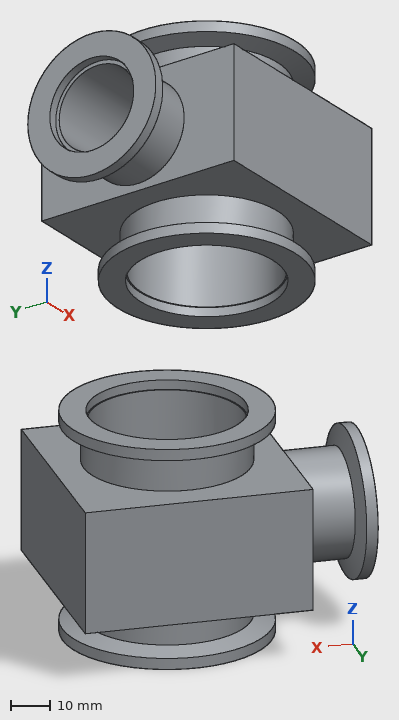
import cadquery as cq
import math

BLOCK_SIDE = 60.0
BLOCK_HEIGHT = 33.0

MAIN_REACH = 30.0
BRANCH_REACH = 50.0

RIM_THICKNESS = 3.0
TAPER_ANGLE = math.radians(15)
RECESS_DEPTH = 2.6

MAIN_FLANGE_DIAMETER = 55.0
MAIN_TUBE_DIAMETER = 44.0
MAIN_BORE_DIAMETER = 40.5
MAIN_RECESS_DIAMETER = 41.2

BRANCH_FLANGE_DIAMETER = 40.0
BRANCH_TUBE_DIAMETER = 29.0
BRANCH_BORE_DIAMETER = 24.0
BRANCH_RECESS_DIAMETER = 26.2

TOP_PORT = cq.Plane(origin=(0, 0, 0), xDir=(1, 0, 0), normal=(0, 0, 1))
BOTTOM_PORT = cq.Plane(origin=(0, 0, 0), xDir=(1, 0, 0), normal=(0, 0, -1))
BRANCH_PORT = cq.Plane(origin=(0, 0, 0), xDir=(0, 1, 0), normal=(-1, 0, 0))


def flanged_tube(plane, reach, flange_diameter, tube_diameter):
    """Solid tube from the block centre, ending in a flange with a tapered back."""
    flange_radius = flange_diameter / 2
    tube_radius = tube_diameter / 2
    rim_back = reach - RIM_THICKNESS
    taper_back = rim_back - (flange_radius - tube_radius) * math.tan(TAPER_ANGLE)
    profile = [
        (0, 0),
        (tube_radius, 0),
        (tube_radius, taper_back),
        (flange_radius, rim_back),
        (flange_radius, reach),
        (0, reach),
    ]
    tube = cq.Workplane("XZ").polyline(profile).close().revolve(360, (0, 0), (0, 1))
    return cq.Workplane(tube.val().moved(cq.Location(plane)))


def recessed_bore(plane, reach, bore_diameter, recess_diameter):
    """Cutter for a bore from the block centre with a shallow recess at the flange face."""
    bore = cq.Workplane(plane).circle(bore_diameter / 2).extrude(reach)
    recess = (
        cq.Workplane(plane)
        .workplane(offset=reach - RECESS_DEPTH)
        .circle(recess_diameter / 2)
        .extrude(RECESS_DEPTH)
    )
    return bore.union(recess)


result = cq.Workplane("XY").box(BLOCK_SIDE, BLOCK_SIDE, BLOCK_HEIGHT)

for port in (TOP_PORT, BOTTOM_PORT):
    result = result.union(flanged_tube(port, MAIN_REACH, MAIN_FLANGE_DIAMETER, MAIN_TUBE_DIAMETER))
result = result.union(
    flanged_tube(BRANCH_PORT, BRANCH_REACH, BRANCH_FLANGE_DIAMETER, BRANCH_TUBE_DIAMETER)
)

for port in (TOP_PORT, BOTTOM_PORT):
    result = result.cut(recessed_bore(port, MAIN_REACH, MAIN_BORE_DIAMETER, MAIN_RECESS_DIAMETER))
result = result.cut(
    recessed_bore(BRANCH_PORT, BRANCH_REACH, BRANCH_BORE_DIAMETER, BRANCH_RECESS_DIAMETER)
)